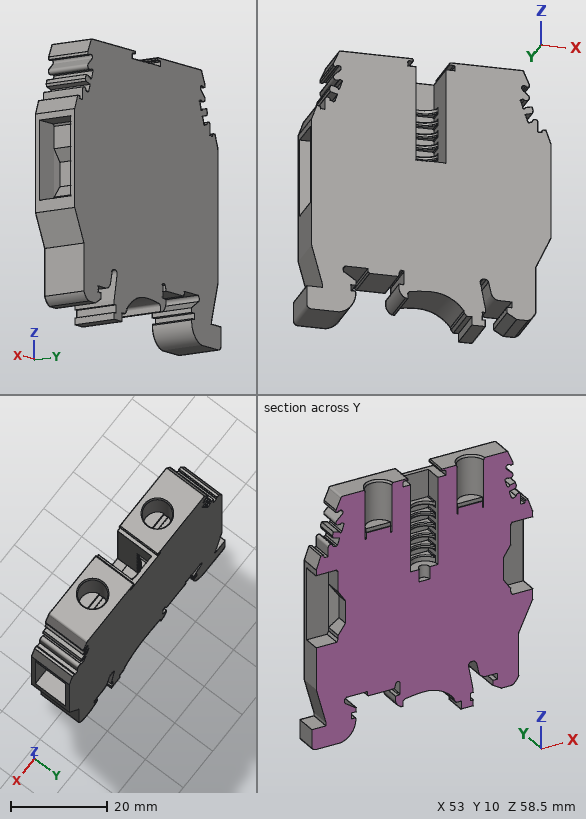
import cadquery as cq

HEIGHT = 58.5
THICKNESS = 10.0
WALL = 1.05
HALF_WIDTH = 26.0
SHOULDER_Z = 42.65
FOOT_X = -27.0
CAVITY_BACK = THICKNESS - WALL
BORE_Y = 4.55

GROOVE_FLOOR_Z = 56.8
GROOVE_HALF_WIDTH = 5.1
LIP_HALF_GAP = 3.9
LIP_BOTTOM_Z = 58.0
LIP_BEVEL = 0.25

SLOT_X = (-3.35, 3.15)
SLOT_FLOOR_Z = 35.9
SLOT_FLOOR_STEP = 0.25
FLOOR_STEP_Y = 2.5
LEDGE_BORE_D = 6.8
LEDGE_COUNT = 6
LEDGE_PITCH = 2.6
LEDGE_HEIGHT = 0.95
TOP_LEDGE_Z = 50.35
LEDGE_CHAMFER = 0.25
LEDGE_FLAT_HALF = 3.0
GUSSET_HEIGHT = 0.25
BASE_LEDGE_TOP_Z = TOP_LEDGE_Z - (LEDGE_COUNT - 1) * LEDGE_PITCH
PIN_HOLE_D = 2.45
PIN_HOLE_Y = 5.1
PIN_HOLE_DEPTH = 2.9

SCREW_X = 11.0
SCREW_HOLE_D = 6.3
SCREW_HOLE_RIM_D = 6.8
RIM_DEPTH = 0.5
SCREW_HEAD_D = 6.0
SCREW_HOLE_DEPTH = 11.7
SCREW_HEAD_HEIGHT = 2.35
SCREW_SLOT_WIDTH = 1.1
SCREW_SLOT_DEPTH = 0.9

ENTRY_BOTTOM_Z = 24.2
ENTRY_TOP_Z = 41.25
ENTRY_DEPTH = 5.25
ENTRY_BEVEL_DEPTH = 0.35
ENTRY_BOTTOM_BEVEL = 0.7
ENTRY_TOP_BEVEL = 0.45
FUNNEL_BOTTOM_Z = 25.75
FUNNEL_TOP_Z = 36.05
FUNNEL_DEPTH = 1.75
FUNNEL_END_Y = (1.3, 7.65)
FUNNEL_END_Z = (28.2, 33.4)


def box(x_range, y_range, z_range):
    """Axis-aligned block between the given limits."""
    size = [high - low for low, high in (x_range, y_range, z_range)]
    corner = (x_range[0], y_range[0], z_range[0])
    return cq.Workplane("XY").box(*size, centered=False).translate(corner)


def cylinder(diameter, x, y, bottom_z, height):
    """Upright cylinder."""
    return cq.Workplane("XY", origin=(x, y, bottom_z)).circle(diameter / 2).extrude(height)


def both_ends(solid):
    """The solid together with its mirror image on the other side of X = 0."""
    return solid.union(solid.mirror("YZ"))


def shoulder():
    """Half of the upper housing, with snap-in ridges for marker tags down its side."""
    side = (
        cq.Workplane("XZ")
        .moveTo(0, SHOULDER_Z)
        .lineTo(0, GROOVE_FLOOR_Z)
        .lineTo(GROOVE_HALF_WIDTH, GROOVE_FLOOR_Z)
        .lineTo(GROOVE_HALF_WIDTH, LIP_BOTTOM_Z - LIP_BEVEL)
        .lineTo(GROOVE_HALF_WIDTH - LIP_BEVEL, LIP_BOTTOM_Z)
        .lineTo(LIP_HALF_GAP, LIP_BOTTOM_Z)
        .lineTo(LIP_HALF_GAP, HEIGHT - LIP_BEVEL)
        .lineTo(LIP_HALF_GAP + LIP_BEVEL, HEIGHT)
        .lineTo(19.65, HEIGHT)
        .threePointArc((19.95, 58.4), (20.1, 58.05))
        .lineTo(21.25, 55.6)
        .lineTo(21.25, 55.0)
        .lineTo(20.7, 54.9)
        .lineTo(20.5, 55.1)
        .lineTo(20.0, 55.15)
        .threePointArc((19.6, 54.75), (19.85, 54.2))
        .lineTo(21.05, 53.0)
        .threePointArc((21.25, 52.3), (20.7, 51.9))
        .lineTo(20.1, 51.9)
        .lineTo(19.85, 52.1)
        .lineTo(19.3, 51.85)
        .lineTo(19.85, 50.2)
        .lineTo(20.05, 49.9)
        .lineTo(20.5, 50.3)
        .lineTo(21.8, 50.6)
        .lineTo(22.1, 49.7)
        .lineTo(21.95, 49.15)
        .lineTo(20.35, 48.75)
        .lineTo(20.9, 47.2)
        .lineTo(21.2, 47.0)
        .lineTo(21.95, 47.25)
        .threePointArc((22.5, 47.85), (23.1, 47.25))
        .lineTo(23.1, 45.1)
        .lineTo(24.0, 45.1)
        .lineTo(24.05, 45.5)
        .lineTo(24.3, 45.7)
        .lineTo(24.85, 45.7)
        .lineTo(HALF_WIDTH, SHOULDER_Z)
        .close()
    )
    return side.extrude(-THICKNESS)


def lower_housing():
    """Housing below the shoulders, with the fixed foot, rail seat and spring foot underneath."""
    outline = (
        cq.Workplane("XZ")
        .moveTo(HALF_WIDTH, SHOULDER_Z)
        .lineTo(-HALF_WIDTH, SHOULDER_Z)
        .lineTo(-HALF_WIDTH, 14.3)
        .lineTo(-23.65, 5.8)
        .lineTo(-23.65, 5.1)
        .lineTo(FOOT_X, 5.1)
        .lineTo(FOOT_X, 1.05)
        .threePointArc((-26.75, 0.3), (-26.0, 0))
        .lineTo(-20.0, 0)
        .threePointArc((-17.55, 1.45), (-16.4, 4.8))
        .lineTo(-16.55, 5.1)
        .lineTo(-17.45, 5.1)
        .lineTo(-17.45, 6.4)
        .lineTo(-16.3, 6.4)
        .lineTo(-16.3, 7.4)
        .lineTo(-18.95, 9.1)
        .threePointArc((-19.15, 9.8), (-18.6, 10.4))
        .lineTo(-13.75, 10.4)
        .lineTo(-13.75, 9.7)
        .lineTo(-13.4, 9.35)
        .lineTo(-7.15, 9.35)
        .lineTo(-6.8, 10.6)
        .lineTo(-6.55, 10.8)
        .lineTo(-6.15, 10.8)
        .lineTo(-5.9, 10.6)
        .lineTo(-5.9, 7.9)
        .lineTo(-6.15, 7.65)
        .lineTo(-7.0, 7.65)
        .lineTo(-7.0, 6.6)
        .threePointArc((-6.55, 5.45), (-5.6, 4.7))
        .lineTo(-5.1, 4.7)
        .lineTo(-5.1, 5.75)
        .threePointArc((-4.85, 6.15), (-4.25, 6.3))
        .threePointArc((-2.15, 6.6), (0, 6.7))
        .threePointArc((3.85, 5.85), (7.0, 3.3))
        .lineTo(7.15, 2.75)
        .lineTo(7.65, 2.1)
        .lineTo(8.8, 2.1)
        .lineTo(8.8, 0.25)
        .lineTo(11.7, 0.25)
        .lineTo(11.7, 1.7)
        .lineTo(11.05, 1.7)
        .lineTo(11.05, 3.4)
        .lineTo(11.7, 3.4)
        .lineTo(11.7, 4.25)
        .lineTo(10.7, 9.6)
        .threePointArc((10.7, 10.4), (11.25, 10.8))
        .lineTo(11.95, 10.8)
        .lineTo(12.4, 10.3)
        .lineTo(13.05, 7.55)
        .threePointArc((13.7, 6.7), (15.0, 6.4))
        .lineTo(17.45, 6.4)
        .lineTo(17.45, 5.1)
        .lineTo(16.4, 5.1)
        .lineTo(16.4, 3.8)
        .lineTo(18.5, 2.6)
        .lineTo(20.95, 2.6)
        .threePointArc((21.8, 3.2), (22.65, 4.45))
        .lineTo(22.65, 14.6)
        .lineTo(HALF_WIDTH, 21.65)
        .close()
    )
    return outline.extrude(-THICKNESS)


def ledge(bottom_z, top_z, top_chamfer=0.0, bottom_chamfer=0.0):
    """Filling of the rear of the jumper slot, bored through to leave two corner shelves."""
    left_x, right_x = SLOT_X
    shelf = (
        cq.Workplane("XZ", origin=(0, BORE_Y, 0))
        .polyline([
            (left_x, bottom_z - GUSSET_HEIGHT),
            (-LEDGE_FLAT_HALF, bottom_z),
            (LEDGE_FLAT_HALF, bottom_z),
            (right_x, bottom_z - GUSSET_HEIGHT),
            (right_x, top_z + GUSSET_HEIGHT),
            (LEDGE_FLAT_HALF, top_z),
            (-LEDGE_FLAT_HALF, top_z),
            (left_x, top_z + GUSSET_HEIGHT),
        ])
        .close()
        .extrude(BORE_Y - CAVITY_BACK)
    )
    bore_z = bottom_z - GUSSET_HEIGHT
    bore = cylinder(LEDGE_BORE_D, 0, BORE_Y, bore_z, top_z + GUSSET_HEIGHT - bore_z)
    shelf = shelf.cut(bore)
    if top_chamfer:
        shelf = shelf.cut(countersink(top_z, -top_chamfer))
    if bottom_chamfer:
        shelf = shelf.cut(countersink(bottom_z, bottom_chamfer))
    return shelf


def countersink(face_z, depth):
    """Cone that bevels the bore edge of a ledge, reaching from its face by a signed depth."""
    return (
        cq.Workplane("XY", origin=(0, BORE_Y, face_z))
        .circle(LEDGE_BORE_D / 2 + abs(depth))
        .workplane(offset=depth)
        .circle(LEDGE_BORE_D / 2)
        .loft()
    )


def jumper_slot():
    """Space of the jumper slot: open to the front and top, with a stepped floor."""
    rear_floor_z = SLOT_FLOOR_Z + SLOT_FLOOR_STEP
    space = box(SLOT_X, (0, CAVITY_BACK), (SLOT_FLOOR_Z, GROOVE_FLOOR_Z))
    space = space.cut(box(SLOT_X, (FLOOR_STEP_Y, CAVITY_BACK), (SLOT_FLOOR_Z, rear_floor_z)))
    for index in range(LEDGE_COUNT - 1):
        top_z = TOP_LEDGE_Z - index * LEDGE_PITCH
        top_chamfer = LEDGE_CHAMFER if index else 0
        space = space.cut(ledge(top_z - LEDGE_HEIGHT, top_z, top_chamfer, LEDGE_CHAMFER))
    space = space.cut(ledge(rear_floor_z, BASE_LEDGE_TOP_Z, LEDGE_CHAMFER))
    pin_hole = cylinder(PIN_HOLE_D, 0, PIN_HOLE_Y, rear_floor_z - PIN_HOLE_DEPTH, PIN_HOLE_DEPTH)
    return space.union(pin_hole)


def screw_hole():
    """Space around and above one sunken slotted screw head."""
    floor_z = HEIGHT - SCREW_HOLE_DEPTH
    hole = cylinder(SCREW_HOLE_D, SCREW_X, BORE_Y, floor_z, SCREW_HOLE_DEPTH)
    rim = (
        cq.Workplane("XY", origin=(SCREW_X, BORE_Y, HEIGHT - RIM_DEPTH))
        .circle(SCREW_HOLE_D / 2)
        .workplane(offset=RIM_DEPTH)
        .circle(SCREW_HOLE_RIM_D / 2)
        .loft()
    )
    head_top_z = floor_z + SCREW_HEAD_HEIGHT
    head = cylinder(SCREW_HEAD_D, SCREW_X, BORE_Y, floor_z, SCREW_HEAD_HEIGHT)
    drive_slot = box(
        (SCREW_X - SCREW_HEAD_D / 2, SCREW_X + SCREW_HEAD_D / 2),
        (BORE_Y - SCREW_SLOT_WIDTH / 2, BORE_Y + SCREW_SLOT_WIDTH / 2),
        (head_top_z - SCREW_SLOT_DEPTH, head_top_z),
    )
    return hole.union(rim).cut(head.cut(drive_slot))


def wire_entry():
    """Pocket in the end face at -X, narrowing to a blind funnel."""
    back_x = ENTRY_DEPTH - HALF_WIDTH
    bevel_x = back_x - ENTRY_BEVEL_DEPTH
    pocket = (
        cq.Workplane("XZ", origin=(0, WALL, 0))
        .polyline([
            (-HALF_WIDTH, ENTRY_BOTTOM_Z),
            (bevel_x, ENTRY_BOTTOM_Z),
            (back_x, ENTRY_BOTTOM_Z + ENTRY_BOTTOM_BEVEL),
            (back_x, ENTRY_TOP_Z - ENTRY_TOP_BEVEL),
            (bevel_x, ENTRY_TOP_Z),
            (-HALF_WIDTH, ENTRY_TOP_Z),
        ])
        .close()
        .extrude(WALL - CAVITY_BACK)
    )
    mouth = rectangle(back_x, (WALL, CAVITY_BACK), (FUNNEL_BOTTOM_Z, FUNNEL_TOP_Z))
    end = rectangle(back_x + FUNNEL_DEPTH, FUNNEL_END_Y, FUNNEL_END_Z)
    funnel = cq.Workplane(cq.Solid.makeLoft([mouth, end], True))
    return pocket.union(funnel)


def rectangle(x, y_range, z_range):
    """Rectangular wire facing along X."""
    low_y, high_y = y_range
    low_z, high_z = z_range
    corners = [(low_y, low_z), (high_y, low_z), (high_y, high_z), (low_y, high_z)]
    return cq.Wire.makePolygon([cq.Vector(x, y, z) for y, z in corners], close=True)


result = lower_housing().union(both_ends(shoulder())).clean()
result = result.cut(jumper_slot())
result = result.cut(both_ends(screw_hole()))
result = result.cut(both_ends(wire_entry()))